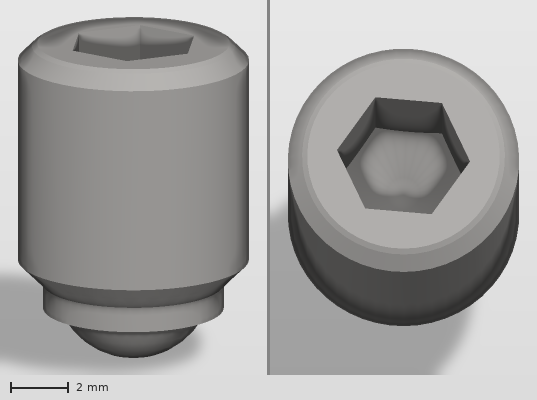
import cadquery as cq
import math

total_height = 11.2
body_radius = 4.0

rim_radius = 3.5
top_face_radius = 3.33
rim_drop = 0.11
top_chamfer_drop = rim_drop + body_radius - rim_radius

collar_radius = 3.12
collar_bottom = 1.7
collar_height = 0.87
collar_top = collar_bottom + collar_height
body_bottom = collar_top + body_radius - collar_radius

hex_across_flats = 4.0
hex_corner_diameter = hex_across_flats / math.cos(math.pi / 6)
hex_depth = 4.0
drill_point_angle = 120

ball_radius = 2.75


def make_ball():
    return cq.Workplane("XY").sphere(ball_radius).translate((0, 0, ball_radius))


def make_socket():
    """Hexagonal hole that ends in a drill-point cone reaching the hexagon corners."""
    hexagon = (
        cq.Workplane("XY")
        .workplane(offset=total_height)
        .polygon(6, hex_corner_diameter)
        .extrude(-total_height)
    )
    corner_radius = hex_corner_diameter / 2
    cone_height = corner_radius / math.tan(math.radians(drill_point_angle / 2))
    cone_base = total_height - hex_depth
    pointed_cylinder = (
        cq.Workplane("XZ")
        .moveTo(0, total_height)
        .lineTo(corner_radius, total_height)
        .lineTo(corner_radius, cone_base)
        .lineTo(0, cone_base - cone_height)
        .close()
        .revolve(360, (0, 0), (0, 1))
    )
    return hexagon.intersect(pointed_cylinder)


def make_housing():
    """Turned housing with a hexagon socket above and a seat that fits the ball below."""
    turned = (
        cq.Workplane("XZ")
        .moveTo(0, collar_bottom)
        .lineTo(collar_radius, collar_bottom)
        .lineTo(collar_radius, collar_top)
        .lineTo(body_radius, body_bottom)
        .lineTo(body_radius, total_height - top_chamfer_drop)
        .lineTo(rim_radius, total_height - rim_drop)
        .lineTo(top_face_radius, total_height)
        .lineTo(0, total_height)
        .close()
        .revolve(360, (0, 0), (0, 1))
    )
    return turned.cut(make_socket()).cut(make_ball())


housing = make_housing()
ball = make_ball()

result = cq.Compound.makeCompound([housing.val(), ball.val()])